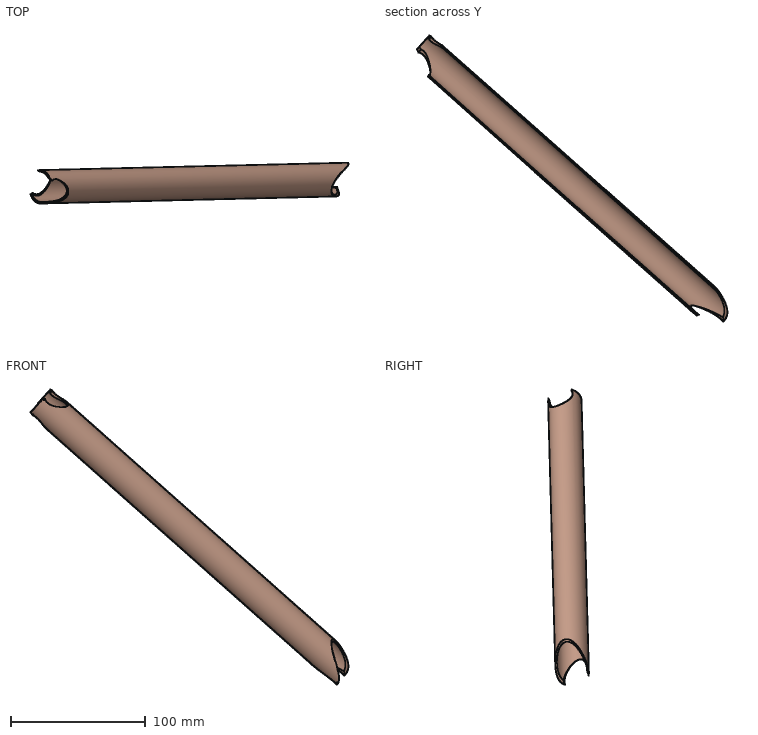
import cadquery as cq
import math

TUBE_RADIUS = 12.5
WALL = 1.5
TUBE_SLOPE_Y = 0.024
TUBE_DIP = 41.6
TUBE_HEIGHT = 2.5
JOINT_PLANE_ROLL = 26.1

UPPER_END = -148.2
UPPER_NODE = -146.3
LOWER_NODE = 164.5

SLIM_RADIUS = 10.0
WIDE_RADIUS = 15.0
UPPER_JOINTS = [(SLIM_RADIUS, -28.9), (SLIM_RADIUS, 21.5)]
LOWER_JOINTS = [(WIDE_RADIUS, -44.4), (SLIM_RADIUS, 55.7)]
CUTTER_LENGTH = 141.8


def joint_plane():
    """Plane of the joining tubes' axes, with its local X along the main tube axis."""
    axis = cq.Vector(1, TUBE_SLOPE_Y, -math.tan(math.radians(TUBE_DIP))).normalized()
    side = cq.Vector(0, -1, 0)
    normal = side - axis * side.dot(axis)
    upright = cq.Plane(origin=(0, 0, TUBE_HEIGHT), xDir=axis, normal=normal)
    return upright.rotated((JOINT_PLANE_ROLL, 0, 0))


def main_tube():
    """Straight tube along local X, from its square upper end to the lower node."""
    return (
        cq.Workplane("YZ", origin=(UPPER_END, 0, 0))
        .circle(TUBE_RADIUS)
        .circle(TUBE_RADIUS - WALL)
        .extrude(LOWER_NODE - UPPER_END)
    )


def joining_tube(node, radius, lean):
    """Solid cylinder through a node on the tube axis, lying in the local XY plane."""
    square = cq.Workplane("XZ").circle(radius).extrude(CUTTER_LENGTH / 2, both=True)
    return square.rotate((0, 0, 0), (0, 0, 1), -lean).translate((node, 0, 0))


body = main_tube()
for node, joints in ((UPPER_NODE, UPPER_JOINTS), (LOWER_NODE, LOWER_JOINTS)):
    for radius, lean in joints:
        body = body.cut(joining_tube(node, radius, lean))

result = cq.Workplane(body.solids().val().moved(cq.Location(joint_plane())))